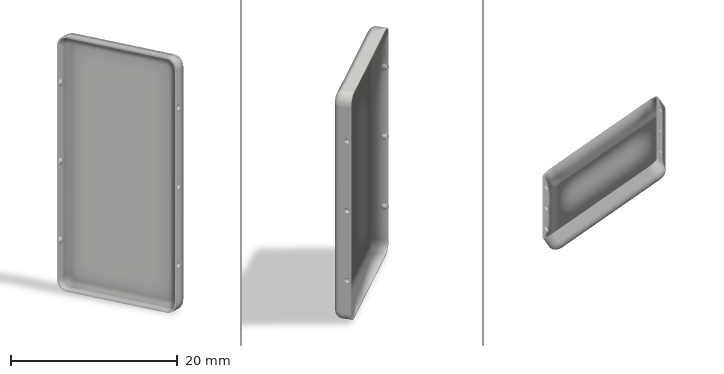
import cadquery as cq
import math

width = 17.0
height = 32.5
overall_depth = 2.25
dimple_overhang = 0.03
wall = 0.2
corner_radius = 1.43
back_edge_radius = 0.9

dimple_pitch = 10.0
dimple_inner_radius = 0.35
dimple_shell = 0.15
dimple_outer_radius = dimple_inner_radius + dimple_shell
dimple_center_offset = 0.1

front_y = -overall_depth / 2
rim_y = front_y + dimple_overhang
back_y = overall_depth / 2
shell_section_radius = math.sqrt(dimple_outer_radius**2 - dimple_center_offset**2)
dimple_y = front_y + shell_section_radius


def rounded_block(inset):
    """Block with rounded corners and back edge, inset from the outer faces and open at the rim."""
    depth = back_y - inset - rim_y
    return (
        cq.Workplane("XY")
        .box(width - 2 * inset, depth, height - 2 * inset)
        .translate((0, rim_y + depth / 2, 0))
        .edges("|Y")
        .fillet(corner_radius - inset)
        .faces(">Y")
        .edges()
        .fillet(back_edge_radius - inset)
    )


def dimple_cap(radius):
    """Spherical cap bulging in from the left wall's outer face, centered on Z = 0."""
    face_x = -width / 2
    depth = radius - dimple_center_offset
    base_radius = math.sqrt(radius**2 - dimple_center_offset**2)
    half_angle = math.acos(dimple_center_offset / radius) / 2
    arc_middle = (
        face_x - dimple_center_offset + radius * math.cos(half_angle),
        dimple_y + radius * math.sin(half_angle),
    )
    return (
        cq.Workplane("XY")
        .moveTo(face_x, dimple_y)
        .lineTo(face_x, dimple_y + base_radius)
        .threePointArc(arc_middle, (face_x + depth, dimple_y))
        .close()
        .revolve(360, (face_x, dimple_y), (face_x + 0.32, dimple_y))
    )


result = rounded_block(0).cut(rounded_block(wall))

for row in (-1, 0, 1):
    row_offset = (0, 0, row * dimple_pitch)
    bump = dimple_cap(dimple_outer_radius).translate(row_offset)
    dent = dimple_cap(dimple_inner_radius).translate(row_offset)
    result = result.union(bump).cut(dent)
    result = result.union(bump.mirror("YZ")).cut(dent.mirror("YZ"))